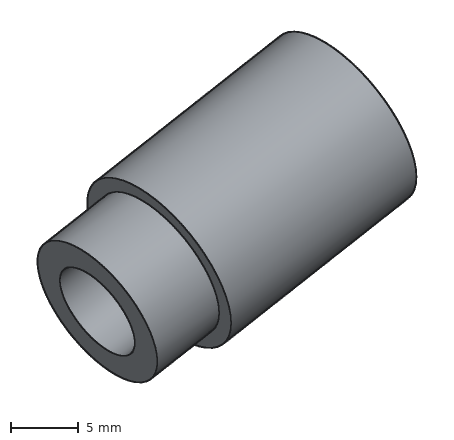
import cadquery as cq

total_length = 25.4
spigot_length = 6.35
body_diameter = 15.25
spigot_diameter = 12.7
bore_diameter = 7.92

body_length = total_length - spigot_length


def cylinder_along_y(diameter, start, length):
    """Cylinder centred on the Y axis, running from start toward +Y."""
    plane = cq.Plane(origin=(0, start, 0), xDir=(1, 0, 0), normal=(0, 1, 0))
    return cq.Workplane(plane).circle(diameter / 2).extrude(length)


spigot = cylinder_along_y(spigot_diameter, 0, spigot_length)
body = cylinder_along_y(body_diameter, spigot_length, body_length)
through_bore = cylinder_along_y(bore_diameter, 0, total_length)

result = spigot.union(body).cut(through_bore)